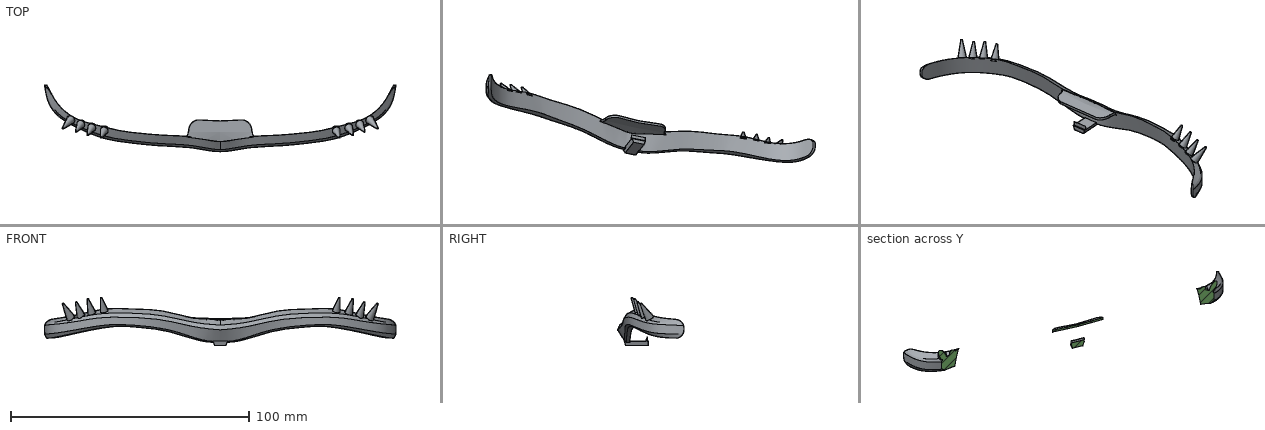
import cadquery as cq


HALF_SPAN = 73.77
DEPTH = 27.92
NOSE_LEAN = 3.0
TIP_RADIUS = 3.6
CREST_SETBACK = 0.22
BELLY_SETBACK = 0.35
HEEL_SHARE = 0.85
ENVELOPE_MARGIN = 20.0

SECTIONS = [
    ((0.0, 0.0), (0.0, 4.4), NOSE_LEAN, 1.2, (10.7, 8.6, 6.6, 1.9, 1.5)),
    ((5.5, 0.55), (5.5, 4.95), 0.85 * NOSE_LEAN, 1.05, (11.2, 9.0, 7.1, 2.0, 1.5)),
    ((13.3, 1.75), (13.2, 6.4), 0.4 * NOSE_LEAN, 0.78, (12.0, 10.2, 8.4, 4.1, 3.4)),
    ((22.0, 2.3), (21.8, 6.9), 0.3 * NOSE_LEAN, 0.75, (14.1, 12.1, 10.3, 6.7, 5.9)),
    ((31.0, 2.9), (30.6, 7.5), 0.12 * NOSE_LEAN, 0.75, (15.2, 13.3, 11.5, 8.1, 7.3)),
    ((43.0, 4.4), (41.8, 8.8), 0.0, HEEL_SHARE, (15.6, 13.7, 11.9, 8.9, 8.1)),
    ((54.0, 7.4), (52.2, 11.3), 0.0, HEEL_SHARE, (14.7, 12.9, 11.2, 7.8, 6.8)),
    ((65.3, 13.0), (62.7, 15.2), 0.0, HEEL_SHARE, (12.4, 10.7, 9.4, 5.8, 4.5)),
    ((70.2, 17.4), (67.4, 19.2), 0.0, HEEL_SHARE, (11.6, 9.8, 8.9, 5.1, 3.5)),
    ((72.9, 23.2), (70.6, 24.0), 0.0, HEEL_SHARE, (11.1, 9.4, 8.6, 4.9, 3.1)),
    ((HALF_SPAN, DEPTH), (72.7, DEPTH), 0.0, HEEL_SHARE, (11.0, 9.2, 8.4, 4.8, 3.0)),
]
TIP_HEIGHTS = SECTIONS[-1][-1]

SPINE_BASE_RADIUS = 1.85
SPINE_TIP_RADIUS = 0.35
SPINE_ROOT = 1.0
SPINES = [
    ((63.1, 13.0, 12.3), (66.0, 9.8, 17.6)),
    ((58.6, 11.3, 12.9), (60.5, 8.5, 18.2)),
    ((54.0, 9.9, 14.0), (55.6, 7.1, 19.5)),
    ((48.7, 8.8, 14.6), (50.0, 6.0, 20.03)),
]

TONGUE_ROOT_HALF_WIDTH = 13.6
TONGUE_ROOT_Y = 6.4
TONGUE_HALF_WIDTH = 13.3
TONGUE_CORNER_Y = 8.6
TONGUE_CORNER_MIDPOINT = (12.3, 11.7)
TONGUE_BACK_HALF_WIDTH = 9.6
TONGUE_BACK = 13.4
TONGUE_DIP = 0.4
TONGUE_ROOT_FILLET = 1.3
TONGUE_THICKNESS = 1.1
TONGUE_TOP_LIMIT = 30.0
TONGUE_RIDGE_Y = 8.2
TONGUE_BACK_DROP = 0.3
TONGUE_MIDDLE = (4.2, 10.6, 11.3)
TONGUE_SIDE = (6.3, 12.1, 11.8)

CLIP_HALF_WIDTH = 3.1
CLIP_BOTTOM_HALF_WIDTH = 2.4
CLIP_FRONT = 2.8
CLIP_FRONT_SLOPE = 0.6
CLIP_BACK = 13.0
CLIP_THICKNESS = 1.9
LIP_BACK = 12.5
LIP_THICKNESS = 0.7
LIP_HEIGHT = 3.7


def section_wire(front, back, lean, heel_share, heights):
    """Closed six-sided cross-section standing on the line from front to back."""
    back_z, crest_z, shoulder_z, foot_z, under_z = heights
    run = cq.Vector(*back) - cq.Vector(*front)
    lean_share = lean / run.Length

    def at(share, z):
        return cq.Vector(front[0] + share * run.x, front[1] + share * run.y, z)

    points = [
        at(heel_share, under_z),
        at(1, back_z),
        at(CREST_SETBACK, crest_z),
        at(0, shoulder_z),
        at(lean_share, foot_z),
        at(lean_share + BELLY_SETBACK * (heel_share - lean_share), under_z),
    ]
    return cq.Wire.makePolygon(points, close=True)


def make_arm():
    wires = [section_wire(*section) for section in SECTIONS]
    arm = cq.Workplane(obj=cq.Solid.makeLoft(wires))
    return arm.intersect(make_tip_envelope())


def make_tip_envelope():
    """Block around an arm whose far upright edges are rounded about the X direction."""
    tip_low = TIP_HEIGHTS[-1]
    tip_high = TIP_HEIGHTS[0]
    rear = DEPTH - TIP_RADIUS
    return (
        cq.Workplane("YZ")
        .moveTo(-ENVELOPE_MARGIN, -ENVELOPE_MARGIN)
        .lineTo(rear, -ENVELOPE_MARGIN)
        .lineTo(rear, tip_low)
        .radiusArc((DEPTH, tip_low + TIP_RADIUS), -TIP_RADIUS)
        .lineTo(DEPTH, tip_high - TIP_RADIUS)
        .radiusArc((rear, tip_high), -TIP_RADIUS)
        .lineTo(rear, tip_high + ENVELOPE_MARGIN)
        .lineTo(-ENVELOPE_MARGIN, tip_high + ENVELOPE_MARGIN)
        .close()
        .extrude(HALF_SPAN + ENVELOPE_MARGIN)
    )


def make_spine(base, tip):
    base_point = cq.Vector(*base)
    axis = cq.Vector(*tip) - base_point
    direction = axis.normalized()
    start = base_point - direction * SPINE_ROOT
    length = axis.Length + SPINE_ROOT
    cone = cq.Solid.makeCone(SPINE_BASE_RADIUS, SPINE_TIP_RADIUS, length, start, direction)
    return cq.Workplane(obj=cone)


def tongue_section(x, front_y, front_z, ridge_z):
    """Bent strip at one X, running from the bow to the back edge."""
    top = [
        (front_y, front_z),
        (TONGUE_RIDGE_Y, ridge_z),
        (TONGUE_BACK, ridge_z - TONGUE_BACK_DROP),
    ]
    bottom = [(y, z - TONGUE_THICKNESS) for y, z in reversed(top)]
    return cq.Wire.makePolygon([cq.Vector(x, y, z) for y, z in top + bottom], close=True)


def make_tongue():
    reach = TONGUE_ROOT_HALF_WIDTH + TONGUE_ROOT_FILLET
    middle = tongue_section(0, *TONGUE_MIDDLE)
    side = tongue_section(reach, *TONGUE_SIDE)
    sheet = cq.Workplane(obj=cq.Solid.makeLoft([middle, side], True))

    outline = (
        cq.Workplane("XY")
        .moveTo(0, 0)
        .lineTo(reach, 0)
        .lineTo(reach, TONGUE_ROOT_Y)
        .radiusArc((TONGUE_ROOT_HALF_WIDTH, TONGUE_ROOT_Y + TONGUE_ROOT_FILLET), TONGUE_ROOT_FILLET)
        .lineTo(TONGUE_HALF_WIDTH, TONGUE_CORNER_Y)
        .threePointArc(TONGUE_CORNER_MIDPOINT, (TONGUE_BACK_HALF_WIDTH, TONGUE_BACK))
        .spline(
            [(0, TONGUE_BACK - TONGUE_DIP)],
            tangents=[(-1, 0), (-1, 0)],
            includeCurrent=True,
        )
        .close()
        .extrude(TONGUE_TOP_LIMIT)
    )
    half_tongue = sheet.intersect(outline)
    return half_tongue.union(half_tongue.mirror("YZ"))


def make_clip():
    """Foot with an upturned lip, narrowing towards its underside."""
    lip_front = LIP_BACK - LIP_THICKNESS
    profile = (
        cq.Workplane("YZ")
        .polyline([
            (CLIP_FRONT + CLIP_FRONT_SLOPE, 0),
            (CLIP_BACK, 0),
            (CLIP_BACK, CLIP_THICKNESS),
            (LIP_BACK, CLIP_THICKNESS),
            (LIP_BACK, LIP_HEIGHT),
            (lip_front, CLIP_THICKNESS),
            (CLIP_FRONT, CLIP_THICKNESS),
        ])
        .close()
        .extrude(CLIP_HALF_WIDTH, both=True)
    )
    flanks = (
        cq.Workplane("XZ")
        .polyline([
            (-CLIP_BOTTOM_HALF_WIDTH, 0),
            (CLIP_BOTTOM_HALF_WIDTH, 0),
            (CLIP_HALF_WIDTH, CLIP_THICKNESS),
            (CLIP_HALF_WIDTH, LIP_HEIGHT),
            (-CLIP_HALF_WIDTH, LIP_HEIGHT),
            (-CLIP_HALF_WIDTH, CLIP_THICKNESS),
        ])
        .close()
        .extrude(-CLIP_BACK)
    )
    return profile.intersect(flanks)


half = make_arm()
for spine_base, spine_tip in SPINES:
    half = half.union(make_spine(spine_base, spine_tip))

result = half.union(half.mirror("YZ")).union(make_tongue()).union(make_clip())